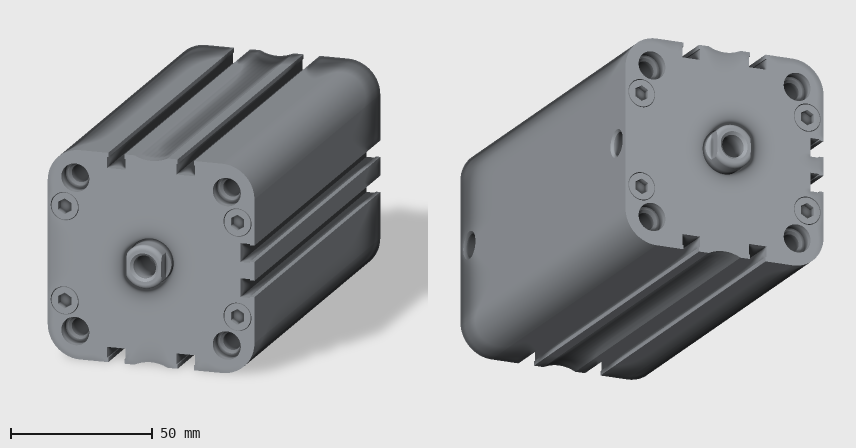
import cadquery as cq
import math

length = 147.0
side = 77.0
half = side / 2
rod_reach = 8.1
corner_radius = 12.0

rod_tip = -length / 2
front = rod_tip + rod_reach
back = length / 2
body_length = back - front
ends = ((front, 1), (back, -1))

slot_opening = 6.0
slot_width = 6.9
lip_depth = 1.6
slot_depth = 5.6
side_slot_depth = 5.1
slot_offset = 13.0
side_slot_offset = slot_offset / 2
groove_width = 12.3
groove_depth = 1.5

mount_offset = 28.2
mount_bore = 10.5
mount_bore_depth = 5.0
mount_chamfer = 8.5
mount_hole = 6.6

screw_x = 32.2
screw_z = 17.3
screw_recess = 10.5
screw_head = 9.8
screw_recess_depth = 1.5
socket_flats = 5.0
socket_depth = 3.0

port_inset = 7.5
port_rim = 10.3
port_bore = 8.5
port_depth = 8.8
passage_diameter = 4.0
passage_depth = 17.6
passage_shift = 1.0

rod_diameter = 16.0
rod_clearance = 16.5
rod_clearance_rim = 17.0
rod_clearance_depth = 1.5
rod_edge = 1.6
rod_flats = 13.0
flat_start = 3.0
rod_bore = 8.4
rod_bore_rim = 10.5
rod_bore_depth = 17.6


def section(y):
    """Sketch plane facing -Y at the given Y, with local x = X and local y = Z."""
    return cq.Workplane("XZ", origin=(0, y, 0))


def end_face(y, x=0, z=0, direction=1):
    """Plane across the Y axis whose normal points along +Y or -Y."""
    return cq.Workplane(cq.Plane((x, y, z), (1, 0, 0), (0, direction, 0)))


def cylinder(x, z, diameter, start, depth):
    """Cylinder along Y from the given start; a negative depth runs towards -Y."""
    return section(start).center(x, z).circle(diameter / 2).extrude(-depth)


def countersink(plane, large, small):
    """45 degree cone narrowing along the plane's normal."""
    height = (large - small) / 2
    return plane.circle(large / 2).workplane(offset=height).circle(small / 2).loft()


def slot(offset, depth):
    """Undercut slot in the +Z side, running the full body length."""
    opening = (
        section(front)
        .center(offset, half - lip_depth / 2)
        .rect(slot_opening, lip_depth)
        .extrude(-body_length)
    )
    undercut_height = depth - lip_depth
    undercut = (
        section(front)
        .center(offset, half - lip_depth - undercut_height / 2)
        .rect(slot_width, undercut_height)
        .extrude(-body_length)
    )
    return opening.union(undercut)


def groove():
    """Shallow arc-shaped groove along the middle of the +Z side."""
    return (
        section(front)
        .moveTo(-groove_width / 2, half)
        .threePointArc((0, half - groove_depth), (groove_width / 2, half))
        .close()
        .extrude(-body_length)
    )


def about_y(shape, angle):
    """Shape turned about the cylinder axis."""
    return shape.rotate((0, 0, 0), (0, 1, 0), angle)


def mount_hole_cut(x, z):
    """Counterbored hole right through the body, the same at both ends."""
    cut = cylinder(x, z, mount_hole, front, body_length)
    for end, direction in ends:
        floor = end + direction * mount_bore_depth
        cut = cut.union(cylinder(x, z, mount_bore, end, direction * mount_bore_depth))
        seat = end_face(floor, x, z, direction)
        cut = cut.union(countersink(seat, mount_chamfer, mount_hole))
    return cut


def screw_cut(x, z):
    """Ring-shaped gap around a flush screw head, plus its hexagon socket."""
    gap = cylinder(x, z, screw_recess, front, screw_recess_depth)
    gap = gap.cut(cylinder(x, z, screw_head, front, screw_recess_depth))
    across_corners = socket_flats / math.cos(math.pi / 6)
    socket = (
        section(front)
        .center(x, z)
        .transformed(rotate=(0, 0, 90))
        .polygon(6, across_corners)
        .extrude(-socket_depth)
    )
    return gap.union(socket)


def port_cut(y, passage_y):
    """Blind port with a chamfered rim and a narrow passage in its floor."""
    def entry(at_y):
        return cq.Workplane(cq.Plane((-half, at_y, 0), (0, -1, 0), (1, 0, 0)))

    bore = entry(y).circle(port_bore / 2).extrude(port_depth)
    passage = entry(passage_y).circle(passage_diameter / 2).extrude(passage_depth)
    return bore.union(passage).union(countersink(entry(y), port_rim, port_bore))


def rod():
    """Rod end with a rounded tip edge, two wrench flats and 45 degree run-outs."""
    root = front + rod_clearance_depth
    shape = cylinder(0, 0, rod_diameter, rod_tip, root - rod_tip)
    shape = shape.faces("<Y").edges().fillet(rod_edge)
    flat_x = rod_flats / 2
    rod_radius = rod_diameter / 2
    flat_end = front - flat_start
    run_out = rod_radius - flat_x
    flat = (
        cq.Workplane("XY")
        .polyline([
            (flat_x, rod_tip),
            (flat_x, flat_end),
            (rod_radius, flat_end + run_out),
            (rod_radius, rod_tip),
        ])
        .close()
        .extrude(rod_radius, both=True)
    )
    return shape.cut(flat).cut(flat.mirror("YZ"))


body = section(front).rect(side, side).extrude(-body_length).edges("|Y").fillet(corner_radius)

top_cuts = groove()
for offset in (-slot_offset, slot_offset):
    top_cuts = top_cuts.union(slot(offset, slot_depth))
body = body.cut(top_cuts).cut(about_y(top_cuts, 180))

for offset in (-side_slot_offset, side_slot_offset):
    body = body.cut(about_y(slot(offset, side_slot_depth), 90))

for x_sign in (-1, 1):
    for z_sign in (-1, 1):
        body = body.cut(mount_hole_cut(x_sign * mount_offset, z_sign * mount_offset))
        body = body.cut(screw_cut(x_sign * screw_x, z_sign * screw_z))

for end, direction in ends:
    port_y = end + direction * port_inset
    body = body.cut(port_cut(port_y, port_y + direction * passage_shift))

body = body.cut(cylinder(0, 0, rod_clearance, front, rod_clearance_depth))
body = body.cut(countersink(end_face(front), rod_clearance_rim, rod_clearance))
body = body.union(rod())
body = body.cut(cylinder(0, 0, rod_bore, rod_tip, rod_bore_depth))
result = body.cut(countersink(end_face(rod_tip), rod_bore_rim, rod_bore))